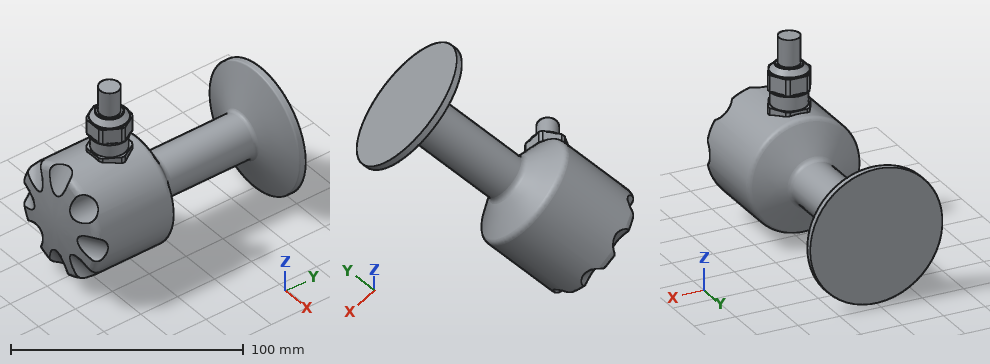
import cadquery as cq
import math

overall_length = 111.8

flange_diameter = 64.0
flange_rim_thickness = 3.2
flange_cone_angle = 20.0
flange_rim_fillet = 0.9
flange_tube_fillet = 1.9
tube_diameter = 22.0
housing_diameter = 54.5
housing_cone_start = 58.4
housing_cone_angle = 60.0
housing_cone_fillet = 3.0
dome_edge_drop = 2.8
dome_edge_fillet = 3.5

flute_count = 8
flute_radius = 7.5
flute_tilt = 31.0
flute_floor_depth = 8.2

gland_offset = 82.0
cable_diameter = 10.0
cable_top = 60.8
gland_mouth_diameter = 12.7
gland_lip_diameter = 12.0
gland_lip_height = 0.3
gland_collar_diameter = 17.8
gland_neck_diameter = 16.8
gland_top = 47.9
gland_shoulder = 44.9
nut_top = 44.3
nut_bottom = 36.6
collar_bottom = 35.4
base_nut_top = 28.6
gland_root = 22.4
nut_across_flats = 18.1
nut_corner_diameter = 19.9

flange_radius = flange_diameter / 2
tube_radius = tube_diameter / 2
housing_radius = housing_diameter / 2


def make_body():
    """Revolve the flange, tube and domed housing, rounding their circular edges."""
    flange_cone_length = (flange_radius - tube_radius) * math.tan(math.radians(flange_cone_angle))
    flange_cone_end = flange_rim_thickness + flange_cone_length
    housing_cone_length = (housing_radius - tube_radius) / math.tan(math.radians(housing_cone_angle))
    housing_start = housing_cone_start + housing_cone_length
    dome_edge = overall_length - dome_edge_drop
    dome_radius = (housing_radius**2 + dome_edge_drop**2) / (2 * dome_edge_drop)
    mid_radius = housing_radius / 2
    mid_drop = dome_radius - math.sqrt(dome_radius**2 - mid_radius**2)

    body = (
        cq.Workplane("XY")
        .lineTo(flange_radius, 0)
        .lineTo(flange_radius, -flange_rim_thickness)
        .lineTo(tube_radius, -flange_cone_end)
        .lineTo(tube_radius, -housing_cone_start)
        .lineTo(housing_radius, -housing_start)
        .lineTo(housing_radius, -dome_edge)
        .threePointArc((mid_radius, mid_drop - overall_length), (0, -overall_length))
        .close()
        .revolve(360, (0, 0, 0), (0, 1, 0))
    )
    edge_fillets = (
        (flange_rim_thickness, flange_rim_fillet),
        (flange_cone_end, flange_tube_fillet),
        (housing_cone_start, housing_cone_fillet),
        (housing_start, housing_cone_fillet),
        (dome_edge, dome_edge_fillet),
    )
    for distance, fillet in edge_fillets:
        edge = cq.selectors.NearestToPointSelector((0, -distance, 0))
        body = body.edges("%CIRCLE").edges(edge).fillet(fillet)
    return body


def cut_flutes(body):
    """Cut tilted cylindrical grooves, evenly spaced, across the cap edge."""
    tilt = math.radians(flute_tilt)
    axis_y = -overall_length + flute_floor_depth - flute_radius / math.cos(tilt)
    half_length = housing_radius
    direction = cq.Vector(0, math.sin(tilt), math.cos(tilt))
    start = cq.Vector(0, axis_y, housing_radius) - direction * half_length
    flute = cq.Workplane(cq.Solid.makeCylinder(flute_radius, 2 * half_length, start, direction))
    for index in range(flute_count):
        body = body.cut(flute.rotate((0, 0, 0), (0, 1, 0), index * 360 / flute_count))
    return body


def gland_cylinder(diameter, bottom, top):
    """Make a cylinder on the gland axis."""
    return cq.Workplane("XY", origin=(0, -gland_offset, bottom)).circle(diameter / 2).extrude(top - bottom)


def make_nut(bottom, top):
    """Make a hexagon with flats toward +Y and -Y and its corners turned down."""
    hexagon = (
        cq.Workplane("XY", origin=(0, -gland_offset, bottom))
        .polygon(6, nut_across_flats / math.cos(math.pi / 6))
        .extrude(top - bottom)
    )
    return hexagon.intersect(gland_cylinder(nut_corner_diameter, bottom, top))


def make_gland():
    """Stack the base nut, neck, clamping nut, tapered mouth with its lip, and cable."""
    collar = gland_cylinder(gland_collar_diameter, collar_bottom, gland_shoulder)
    taper_top = gland_top - gland_lip_height
    mouth = (
        cq.Workplane("XY", origin=(0, -gland_offset, gland_shoulder))
        .circle(gland_collar_diameter / 2)
        .workplane(offset=taper_top - gland_shoulder)
        .circle(gland_mouth_diameter / 2)
        .loft(ruled=True)
        .union(gland_cylinder(gland_lip_diameter, taper_top, gland_top))
    )
    return (
        make_nut(gland_root, base_nut_top)
        .union(gland_cylinder(gland_neck_diameter, gland_root, collar_bottom))
        .union(collar)
        .union(make_nut(nut_bottom, nut_top))
        .union(mouth)
        .union(gland_cylinder(cable_diameter, gland_root, cable_top))
    )


result = cut_flutes(make_body()).union(make_gland())